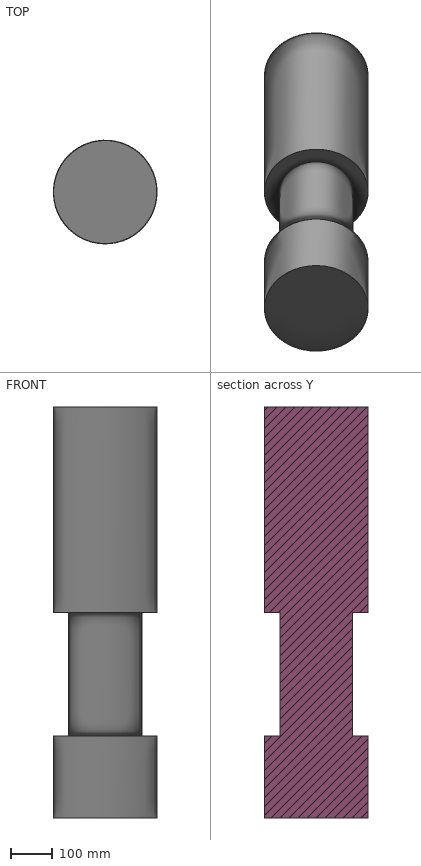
import cadquery as cq

body_diameter = 252.0
neck_diameter = 178.0
base_height = 200.0
neck_height = 300.0
head_height = 500.0
total_height = base_height + neck_height + head_height


def add_cylinder(stack, diameter, height):
    """Add a coaxial cylinder on the top face of the stack."""
    return stack.faces(">Z").workplane().circle(diameter / 2).extrude(height)


base = cq.Workplane("XY", origin=(0, 0, -total_height / 2)).circle(body_diameter / 2).extrude(base_height)
base_and_neck = add_cylinder(base, neck_diameter, neck_height)
result = add_cylinder(base_and_neck, body_diameter, head_height)